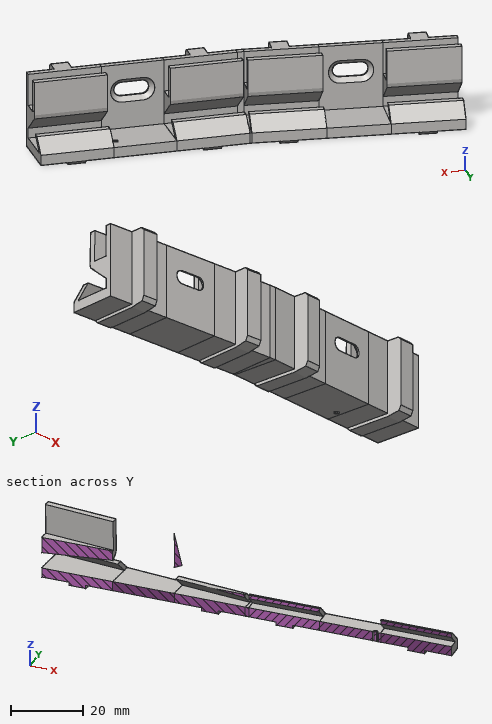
import cadquery as cq
import math

overall_length = 121.8
bend_angle = 6.0
bend_radius = 20.0

height = 22.0
depth = 15.0
wall_thickness = 1.8
floor_thickness = 3.0
plate_length = 18.0

bend = math.radians(bend_angle)
half_length = (overall_length - bend_radius * math.sin(bend)) / (1 + math.cos(bend))
channel_length = (half_length - plate_length) / 2

toe_height = 7.1
toe_width = 1.8
toe_lean = toe_height - floor_thickness

groove_bottom = 12.8
lip_inner_bottom = 6.6
lip_inner_top = 6.3
lip_outer_bottom = 8.4
lip_outer_top = 8.2
lip_bulge_bottom = 12.3
lip_underside = 11.2
undercut_top = 6.0

clip_width = 5.0
clip_reach = 4.9
clip_chamfer = 1.0
foot_drop = 1.0
foot_nose_drop = 0.4
foot_nose_height = 1.1
foot_nose_setback = 0.7

slot_length = 10.0
slot_height = 4.0
slot_center_height = 14.1
slot_land = 0.5

hole_diameter = 1.6
core_diameter = 0.9
hole_from_plate_end = 1.6
hole_from_front = 10.4


def extrude_along_x(outline, x_start, length):
    """Extrude a closed outline of (y, z) points along +X from x_start."""
    return cq.Workplane("YZ", origin=(x_start, 0, 0)).polyline(outline).close().extrude(length)


def wall_and_floor_outline():
    return [
        (0, 0),
        (depth, 0),
        (depth, floor_thickness),
        (wall_thickness, floor_thickness),
        (wall_thickness, height),
        (0, height),
    ]


def channel_outline():
    return [
        (0, 0),
        (depth, 0),
        (depth, floor_thickness),
        (depth - toe_lean, toe_height),
        (depth - toe_lean - toe_width, toe_height),
        (depth - toe_width, floor_thickness),
        (wall_thickness, floor_thickness),
        (wall_thickness, undercut_top),
        (lip_outer_top, lip_underside),
        (lip_outer_bottom, lip_bulge_bottom),
        (lip_outer_top, height),
        (lip_inner_top, height),
        (lip_inner_bottom, groove_bottom),
        (wall_thickness, groove_bottom),
        (wall_thickness, height),
        (0, height),
    ]


def clip_outline():
    return [
        (wall_thickness, height),
        (clip_chamfer - clip_reach, height),
        (-clip_reach, height - clip_chamfer),
        (-clip_reach, foot_nose_height),
        (foot_nose_setback - clip_reach, -foot_nose_drop),
        (0, -foot_drop),
        (depth - foot_drop, -foot_drop),
        (depth, 0),
        (wall_thickness, 0),
    ]


def channel(x_start):
    """Channel with a clip at the middle of its length."""
    clip_start = x_start + (channel_length - clip_width) / 2
    clip = extrude_along_x(clip_outline(), clip_start, clip_width)
    return extrude_along_x(channel_outline(), x_start, channel_length).union(clip)


def wall_slot(center_x):
    """Slot through the wall: straight at the front face, then countersunk towards the back."""
    countersink = wall_thickness - slot_land
    straight = (
        cq.Workplane("XZ", origin=(center_x, wall_thickness, slot_center_height))
        .slot2D(slot_length, slot_height)
        .extrude(wall_thickness)
    )
    flare = (
        cq.Workplane("XZ", origin=(center_x, wall_thickness, slot_center_height))
        .slot2D(slot_length + 2 * countersink, slot_height + 2 * countersink)
        .extrude(countersink, taper=45)
    )
    return straight.union(flare)


def plate(x_start):
    """Plain wall and floor with a countersunk slot through the wall."""
    body = extrude_along_x(wall_and_floor_outline(), x_start, plate_length)
    return body.cut(wall_slot(x_start + plate_length / 2))


def floor_cylinder(diameter):
    """Upright cylinder as tall as the floor, at the place of the round hole."""
    hole_x = channel_length + plate_length - hole_from_plate_end
    return (
        cq.Workplane("XY", origin=(hole_x, hole_from_front, 0))
        .circle(diameter / 2)
        .extrude(floor_thickness)
    )


def bend_wedge():
    """Wall and floor swept about the bend axis, from the end of the straight half."""
    return (
        cq.Workplane("YZ")
        .polyline(wall_and_floor_outline())
        .close()
        .revolve(bend_angle, (bend_radius, 0), (bend_radius, -1))
    )


def turned(body):
    """Turn a body about the bend axis onto the left half."""
    return body.rotate((0, bend_radius, 0), (0, bend_radius, 1), -bend_angle)


channels = []
for x_start in (0, channel_length + plate_length):
    channels.append(channel(x_start).val())
    channels.append(turned(channel(-x_start - channel_length)).val())

right_plate = plate(channel_length).cut(floor_cylinder(hole_diameter))
left_plate = turned(plate(-channel_length - plate_length))
hole_core = floor_cylinder(core_diameter)
wedge = bend_wedge()

result = cq.Compound.makeCompound(
    [*channels, right_plate.val(), left_plate.val(), hole_core.val(), wedge.val()]
)